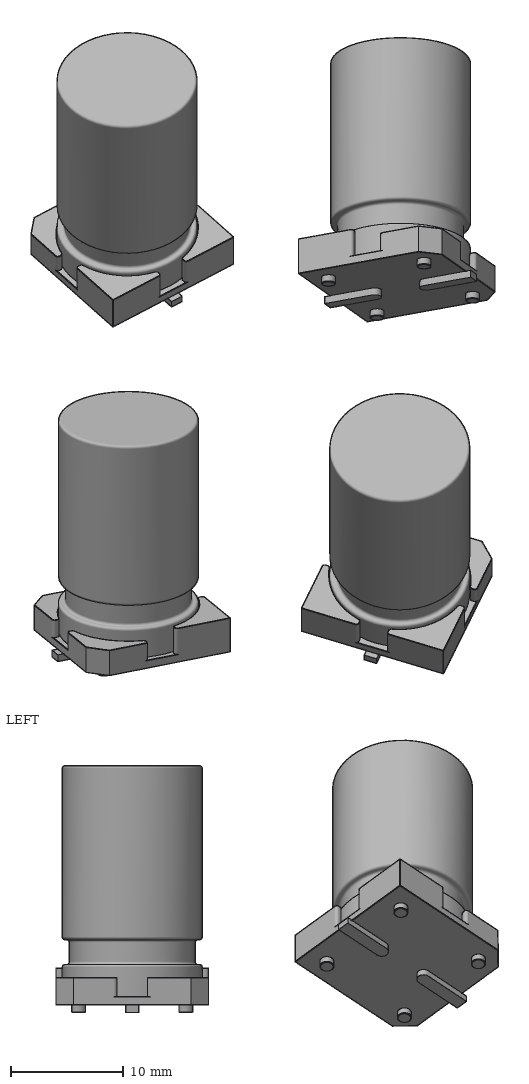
import cadquery as cq

total_height = 22.0
standoff = 0.65
notch_floor = 1.45
short_post_top = 3.15
tall_post_top = 3.98

base_side = 13.6
corner_cut = 1.56
edge_break = 0.05

notch_width = 2.73
post_end_radius = 0.26
can_clearance = 0.07

can_radius = 12.5 / 2
groove_radius = 11.25 / 2
groove_bottom = 4.3
groove_top = 6.5
can_round = 0.25

terminal_span = 14.6
terminal_width = 1.19
terminal_gap = 3.95
pin_diameter = 1.25
pin_offset = 4.77
pin_edge_break = 0.07


def make_base():
    """Base plate with cut -X corners, lightly broken +X corners and broken rims."""
    plate = cq.Workplane("XY").workplane(offset=standoff).rect(base_side, base_side)
    plate = plate.extrude(notch_floor - standoff)
    plate = plate.edges("|Z and <X").chamfer(corner_cut)
    plate = plate.edges("|Z and >X").chamfer(edge_break)
    return plate.faces("<Z or >Z").edges().chamfer(edge_break)


def make_post(x_sign, y_sign):
    """Corner post, sunk into the base, with rounded ends and a round clearance for the can."""
    foot = standoff + edge_break
    top = tall_post_top if x_sign > 0 else short_post_top
    side = (base_side - notch_width) / 2
    center = (notch_width + side) / 2
    post = cq.Workplane("XY", origin=(x_sign * center, y_sign * center, foot))
    post = post.rect(side, side).extrude(top - foot)

    x_out, x_in = (">X", "<X") if x_sign > 0 else ("<X", ">X")
    y_out, y_in = (">Y", "<Y") if y_sign > 0 else ("<Y", ">Y")
    post = post.edges(f"|Z and {x_out} and {y_out}").chamfer(edge_break if x_sign > 0 else corner_cut)
    post = post.edges(f"|Z and {x_out} and {y_in}").fillet(post_end_radius)
    post = post.edges(f"|Z and {x_in} and {y_out}").fillet(post_end_radius)

    clearance = cq.Workplane("XY", origin=(0, 0, foot)).circle(can_radius + can_clearance)
    post = post.cut(clearance.extrude(top - foot))

    post = post.edges(f"|Z and {x_in}").edges(y_in).fillet(post_end_radius)
    post = post.edges(f"|Z and {y_in}").edges(x_in).fillet(post_end_radius)
    return post.faces(">Z").edges().chamfer(edge_break)


def make_can():
    """Can with a rounded top rim and a rolled groove above the base."""
    lip = can_radius - can_round
    neck = groove_radius + can_round
    profile = (
        cq.Workplane("XZ")
        .moveTo(0, notch_floor)
        .lineTo(can_radius, notch_floor)
        .lineTo(can_radius, groove_bottom - can_round)
        .radiusArc((lip, groove_bottom), -can_round)
        .lineTo(neck, groove_bottom)
        .radiusArc((groove_radius, groove_bottom + can_round), can_round)
        .lineTo(groove_radius, groove_top - can_round)
        .radiusArc((neck, groove_top), can_round)
        .lineTo(lip, groove_top)
        .radiusArc((can_radius, groove_top + can_round), -can_round)
        .lineTo(can_radius, total_height - can_round)
        .radiusArc((lip, total_height), -can_round)
        .lineTo(0, total_height)
        .close()
    )
    return profile.revolve(360, (0, 0, 0), (0, 1, 0))


def make_terminal(x_sign):
    """Flat terminal strip with a full-round inner end."""
    end_radius = terminal_width / 2
    round_center = x_sign * (terminal_gap / 2 + end_radius)
    strip_length = terminal_span / 2 - terminal_gap / 2 - end_radius
    strip = cq.Workplane("XY").center(round_center + x_sign * strip_length / 2, 0)
    strip = strip.rect(strip_length, terminal_width).extrude(standoff)
    return strip.union(cq.Workplane("XY").center(round_center, 0).circle(end_radius).extrude(standoff))


def make_pins():
    """Four round locating pins."""
    pins = cq.Workplane("XY").rect(2 * pin_offset, 2 * pin_offset, forConstruction=True).vertices()
    pins = pins.circle(pin_diameter / 2).extrude(standoff)
    return pins.faces("<Z").edges().chamfer(pin_edge_break)


result = make_base().union(make_can()).union(make_pins())
for x_side in (-1, 1):
    result = result.union(make_terminal(x_side))
    for y_side in (-1, 1):
        result = result.union(make_post(x_side, y_side))